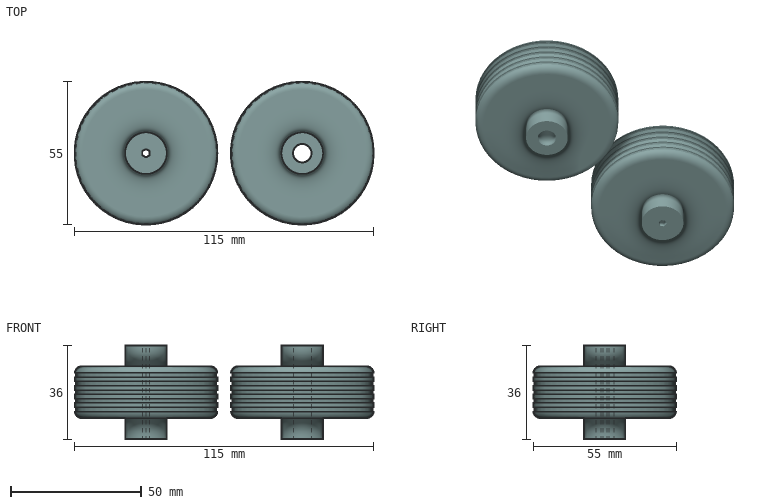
import cadquery as cq

WHEEL_DIAMETER = 55.0
WHEEL_WIDTH = 20.0
EDGE_RADIUS = 3.0

HUB_DIAMETER = 16.0
HUB_LENGTH = 36.0

GROOVE_FLOOR_DIAMETER = 54.0
GROOVE_COUNT = 5
TREAD_WIDTH = 15.0
GROOVE_WIDTH = TREAD_WIDTH / (2 * GROOVE_COUNT - 1)
GROOVE_PITCH = 2 * GROOVE_WIDTH

HEX_ACROSS_CORNERS = 3.1
ROUND_BORE_DIAMETER = 7.0

OVERALL_LENGTH = 115.0
WHEEL_OFFSET = (OVERALL_LENGTH - WHEEL_DIAMETER) / 2


def centred_cylinder(diameter, length):
    """Cylinder along Z, centred on the origin."""
    return cq.Workplane("XY", origin=(0, 0, -length / 2)).circle(diameter / 2).extrude(length)


def tread_groove(height):
    """Ring that cuts one tread groove, centred at the given height."""
    return (
        cq.Workplane("XY", origin=(0, 0, height - GROOVE_WIDTH / 2))
        .circle(WHEEL_DIAMETER / 2 + EDGE_RADIUS)
        .circle(GROOVE_FLOOR_DIAMETER / 2)
        .extrude(GROOVE_WIDTH)
    )


def wheel_blank():
    """Rounded, grooved wheel with its hub, before the axle opening is cut."""
    blank = centred_cylinder(WHEEL_DIAMETER, WHEEL_WIDTH).edges().fillet(EDGE_RADIUS)
    for index in range(GROOVE_COUNT):
        height = (index - (GROOVE_COUNT - 1) / 2) * GROOVE_PITCH
        blank = blank.cut(tread_groove(height))
    return blank.union(centred_cylinder(HUB_DIAMETER, HUB_LENGTH))


def hex_drive_wheel():
    """Wheel with a hexagonal through hole whose corners point along Y."""
    hexagon = (
        cq.Workplane("XY", origin=(0, 0, -HUB_LENGTH / 2))
        .polygon(6, HEX_ACROSS_CORNERS)
        .extrude(HUB_LENGTH)
        .rotate((0, 0, 0), (0, 0, 1), 90)
    )
    return wheel_blank().cut(hexagon).translate((-WHEEL_OFFSET, 0, 0))


def round_bore_wheel():
    """Wheel with a round through bore."""
    bore = centred_cylinder(ROUND_BORE_DIAMETER, HUB_LENGTH)
    return wheel_blank().cut(bore).translate((WHEEL_OFFSET, 0, 0))


hex_wheel = hex_drive_wheel()
bored_wheel = round_bore_wheel()

result = cq.Compound.makeCompound([hex_wheel.val(), bored_wheel.val()])